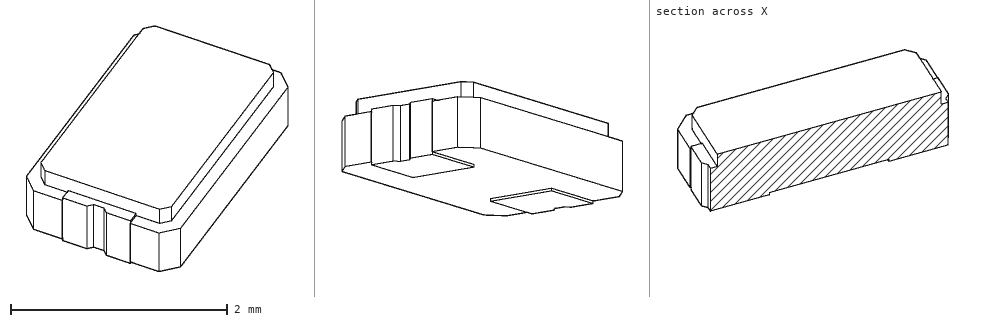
import cadquery as cq

body_width = 1.6
body_length = 2.5
body_height = 0.48
body_chamfer = 0.15

lid_inset = 0.122
lid_height = 0.175
lid_chamfer = 0.082

terminal_width = 0.705
terminal_thickness = 0.025
terminal_recess = 0.008
pad_length = 0.642

notch_floor_width = 0.108
notch_depth = 0.048

body_bottom = terminal_thickness
body_top = body_bottom + body_height
terminal_top = body_top + terminal_thickness
terminal_end = body_length / 2 - terminal_recess


def chamfered_block(width, length, height, chamfer, bottom):
    """Centred block with chamfered vertical edges."""
    block = cq.Workplane("XY").box(width, length, height, centered=(True, True, False))
    return block.edges("|Z").chamfer(chamfer).translate((0, 0, bottom))


def terminal_block(inner_end, outer_end, bottom, top):
    """Block of terminal width between two Y positions."""
    block = cq.Workplane("XY").box(
        terminal_width, outer_end - inner_end, top - bottom, centered=(True, False, False)
    )
    return block.translate((0, inner_end, bottom))


def notch():
    """Full-height trapezoid cutter, flared outwards past the body end."""
    cut_end = body_length / 2
    floor_y = terminal_end - notch_depth
    half_floor = notch_floor_width / 2
    half_mouth = half_floor + cut_end - floor_y
    outline = [
        (-half_floor, floor_y),
        (half_floor, floor_y),
        (half_mouth, cut_end),
        (-half_mouth, cut_end),
    ]
    return cq.Workplane("XY").polyline(outline).close().extrude(terminal_top)


def at_both_ends(shape):
    """The shape together with its mirror image at the opposite end."""
    return shape.union(shape.mirror("XZ"))


body = chamfered_block(body_width, body_length, body_height, body_chamfer, body_bottom)
lid = chamfered_block(
    body_width - 2 * lid_inset, body_length - 2 * lid_inset, lid_height, lid_chamfer, body_top
)

lid_end = body_length / 2 - lid_inset
end_recess = terminal_block(terminal_end, body_length / 2, body_bottom, body_top)
top_strip = terminal_block(lid_end, terminal_end, body_top, terminal_top)
bottom_pad = terminal_block(terminal_end - pad_length, terminal_end, 0, body_bottom)

result = (
    body.union(lid)
    .union(at_both_ends(top_strip))
    .union(at_both_ends(bottom_pad))
    .cut(at_both_ends(end_recess))
    .cut(at_both_ends(notch()))
)